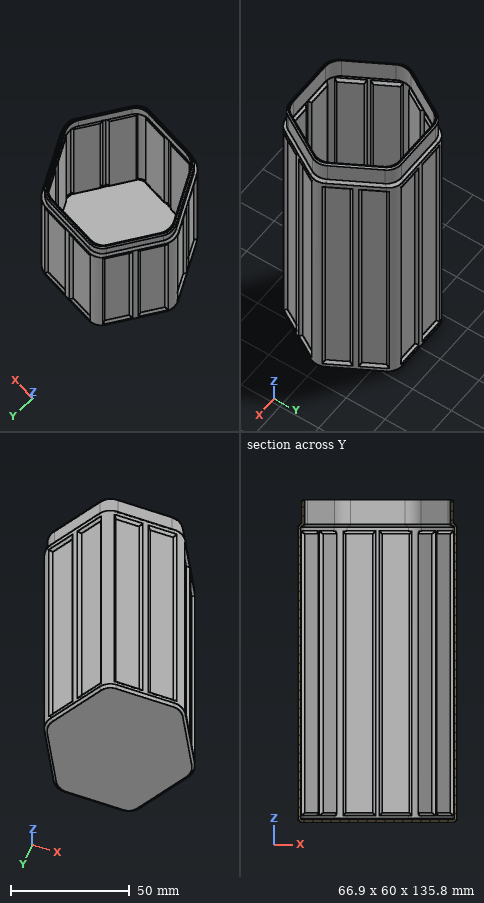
import cadquery as cq
import math

HEIGHT = 135.8
ACROSS_FLATS = 60.0
CORNER_RADIUS = 7.6

WALL = 1.2
OFFSET_45 = WALL * math.tan(math.radians(22.5))

NECK_HEIGHT = 9.9
SHOULDER = 1.25
BASE_CHAMFER = 1.2
LIP_CHAMFER = 0.77

SIDES = 6
PANEL_DEPTH = 1.25
RIB_WIDTH = 2.5
BOTTOM_BAND = 3.3
TOP_BAND = 2.6

BODY_APOTHEM = ACROSS_FLATS / 2
NECK_APOTHEM = BODY_APOTHEM - SHOULDER
NECK_Z = HEIGHT - NECK_HEIGHT
BODY_TOP_Z = NECK_Z - SHOULDER
HALF_FLAT = (BODY_APOTHEM - CORNER_RADIUS) * math.tan(math.pi / SIDES)
FLOOR_HALF_RIB = RIB_WIDTH / 2 + PANEL_DEPTH
FLOOR_WIDTH = HALF_FLAT - FLOOR_HALF_RIB
FLOOR_BOTTOM_Z = BOTTOM_BAND + PANEL_DEPTH
FLOOR_TOP_Z = BODY_TOP_Z - TOP_BAND - PANEL_DEPTH


def polar(radius, angle):
    return cq.Vector(radius * math.cos(angle), radius * math.sin(angle), 0)


def rounded_hexagon(apothem, corner_radius, z):
    """Closed wire of a hexagon with rounded corners, one corner on the X axis."""
    step = 2 * math.pi / SIDES
    arc_centre = (apothem - corner_radius) / math.cos(step / 2)
    lift = cq.Vector(0, 0, z)
    arcs = []
    for i in range(SIDES):
        middle = i * step
        centre = polar(arc_centre, middle) + lift
        angles = (middle - step / 2, middle, middle + step / 2)
        arcs.append([centre + polar(corner_radius, angle) for angle in angles])
    edges = []
    for arc, following in zip(arcs, arcs[1:] + arcs[:1]):
        edges.append(cq.Edge.makeThreePointArc(*arc))
        edges.append(cq.Edge.makeLine(arc[2], following[0]))
    return cq.Wire.assembleEdges(edges)


def hexagon_stack(sections):
    """Solid on a workplane, straight from each (z, apothem, corner radius) section to the next."""
    solid = None
    for lower, upper in zip(sections, sections[1:]):
        wires = [rounded_hexagon(apothem, radius, z) for z, apothem, radius in (lower, upper)]
        layer = cq.Workplane(cq.Solid.makeLoft(wires, True))
        solid = layer if solid is None else solid.union(layer)
    return solid


def panel_shapes(apothem, grow):
    """Flared blocks for all panels, their outer faces on the sides of the given apothem.

    The small inner face is the panel floor, enlarged all round by grow.
    """
    width = FLOOR_WIDTH + 2 * grow
    height = FLOOR_TOP_Z - FLOOR_BOTTOM_Z + 2 * grow
    middle = FLOOR_HALF_RIB + FLOOR_WIDTH / 2
    middle_z = (FLOOR_BOTTOM_Z + FLOOR_TOP_Z) / 2
    blocks = cq.Workplane()
    for side in range(SIDES):
        for offset in (-middle, middle):
            block = (
                cq.Workplane("XZ")
                .workplane(offset=apothem - PANEL_DEPTH)
                .center(offset, middle_z)
                .rect(width, height)
                .workplane(offset=PANEL_DEPTH)
                .rect(width + 2 * PANEL_DEPTH, height + 2 * PANEL_DEPTH)
                .loft(ruled=True)
            )
            blocks = blocks.add(block.rotate((0, 0, 0), (0, 0, 1), side * 360 / SIDES))
    return blocks


def cut_all(solid, tools):
    """The solid with every tool shape removed in one cut."""
    return cq.Workplane(solid.val().cut(*tools.vals()))


def outer_form():
    """The outside as a solid: body with pressed-in panels, shoulder and chamfered neck."""
    form = hexagon_stack([
        (0, BODY_APOTHEM - BASE_CHAMFER, CORNER_RADIUS - BASE_CHAMFER),
        (BASE_CHAMFER, BODY_APOTHEM, CORNER_RADIUS),
        (BODY_TOP_Z, BODY_APOTHEM, CORNER_RADIUS),
        (NECK_Z, NECK_APOTHEM, CORNER_RADIUS),
        (HEIGHT - LIP_CHAMFER, NECK_APOTHEM, CORNER_RADIUS),
        (HEIGHT, NECK_APOTHEM - LIP_CHAMFER, CORNER_RADIUS - LIP_CHAMFER),
    ])
    return cut_all(form, panel_shapes(BODY_APOTHEM, 0))


def inner_cavity():
    """The outer form offset inward by the wall, with a plain bore through the lip."""
    apothem = BODY_APOTHEM - WALL
    radius = CORNER_RADIUS - WALL
    neck_apothem = NECK_APOTHEM - WALL
    floor_chamfer = BASE_CHAMFER + OFFSET_45 - WALL
    cavity = hexagon_stack([
        (WALL, apothem - floor_chamfer, radius - floor_chamfer),
        (WALL + floor_chamfer, apothem, radius),
        (BODY_TOP_Z - OFFSET_45, apothem, radius),
        (NECK_Z - OFFSET_45, neck_apothem, CORNER_RADIUS),
        (HEIGHT, neck_apothem, CORNER_RADIUS),
    ])
    return cut_all(cavity, panel_shapes(apothem, OFFSET_45))


result = outer_form().cut(inner_cavity())